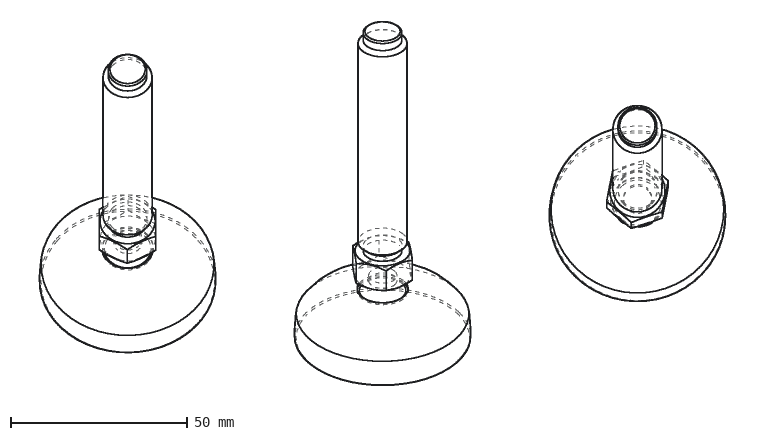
import cadquery as cq
import math

foot_radius = 25.0
foot_bottom_chamfer = 0.4
rim_band_height = 2.5
rim_height = 7.3
rim_top_radius = 24.7
dome_edge_radius = 24.5
dome_edge_height = 8.1
foot_height = 16.7
foot_flat_radius = 9.0
socket_radius = 14.5 / 2
socket_depth = 0.6

stem_base_radius = 13.2 / 2
stem_radius = 8.0 / 2
stem_cone_top = 19.5

hex_across_flats = 16.0
hex_bottom = 21.3
hex_top = 29.6
hex_chamfer_radius = hex_across_flats / 2 - 0.2
hex_corner_radius = 9.3
chamfer_slope = math.tan(math.radians(30))

spindle_radius = 14.0 / 2
neck_radius = 11.0 / 2
neck_top = 31.4
spindle_bottom = 32.7
spindle_top = 100.1
tip_bottom = 101.3
tip_chamfer = 0.5
total_height = 104.2


def make_foot():
    """Revolve the foot, with a tangent dome arc and a shallow socket around the stem."""
    profile = (
        cq.Workplane("XZ")
        .moveTo(0, 0)
        .lineTo(foot_radius - foot_bottom_chamfer, 0)
        .lineTo(foot_radius, foot_bottom_chamfer)
        .lineTo(foot_radius, rim_band_height)
        .lineTo(rim_top_radius, rim_height)
        .lineTo(dome_edge_radius, dome_edge_height)
    )
    run = dome_edge_radius - foot_flat_radius
    drop = foot_height - dome_edge_height
    dome_radius = (run**2 + drop**2) / (2 * drop)
    half_angle = math.atan2(run, dome_radius - drop) / 2
    dome_middle = (
        foot_flat_radius + dome_radius * math.sin(half_angle),
        foot_height - dome_radius * (1 - math.cos(half_angle)),
    )
    return (
        profile.threePointArc(dome_middle, (foot_flat_radius, foot_height))
        .lineTo(socket_radius, foot_height)
        .lineTo(socket_radius, foot_height - socket_depth)
        .lineTo(0, foot_height - socket_depth)
        .close()
        .revolve(360, (0, 0, 0), (0, 1, 0))
    )


def revolve_profile(outline):
    """Revolve (radius, height) points, closed along the Z axis."""
    bottom = outline[0][1]
    top = outline[-1][1]
    points = [(0, bottom), *outline, (0, top)]
    return cq.Workplane("XZ").polyline(points).close().revolve(360, (0, 0, 0), (0, 1, 0))


def make_stem():
    return revolve_profile([
        (stem_base_radius, foot_height - socket_depth),
        (stem_radius, stem_cone_top),
        (stem_radius, hex_bottom),
    ])


def make_hexagon():
    """Hexagon with corners on the Y axis and conical chamfers at both ends."""
    corner_diameter = hex_across_flats / math.cos(math.radians(30))
    prism = (
        cq.Workplane("XY", origin=(0, 0, hex_bottom))
        .polygon(6, corner_diameter)
        .extrude(hex_top - hex_bottom)
        .rotate((0, 0, 0), (0, 0, 1), 30)
    )
    chamfer_height = (hex_corner_radius - hex_chamfer_radius) * chamfer_slope
    envelope = revolve_profile([
        (hex_chamfer_radius, hex_bottom),
        (hex_corner_radius, hex_bottom + chamfer_height),
        (hex_corner_radius, hex_top - chamfer_height),
        (hex_chamfer_radius, hex_top),
    ])
    return prism.intersect(envelope)


def make_spindle():
    return revolve_profile([
        (neck_radius, hex_top),
        (neck_radius, neck_top),
        (spindle_radius, spindle_bottom),
        (spindle_radius, spindle_top),
        (neck_radius, tip_bottom),
        (neck_radius, total_height - tip_chamfer),
        (neck_radius - tip_chamfer, total_height),
    ])


result = make_foot().union(make_stem()).union(make_hexagon()).union(make_spindle())